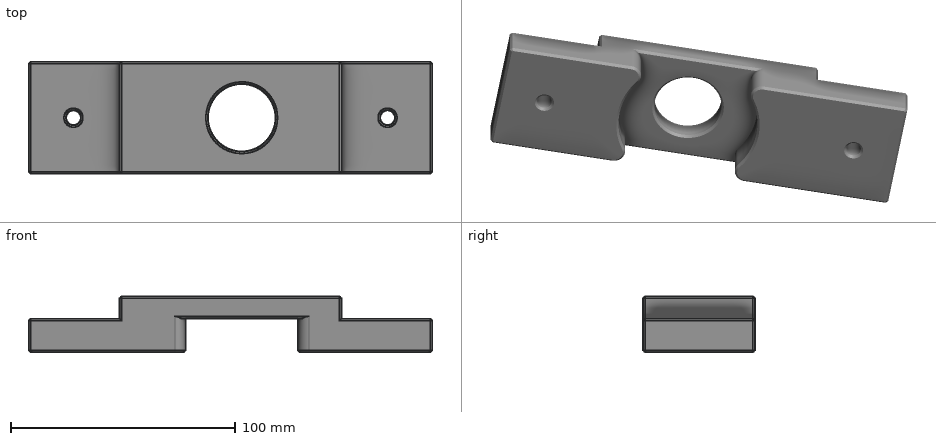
import cadquery as cq
import math

length = 180.0
width = 50.0
height = 25.0
edge_chamfer = 1.0

flange_top = 15.0
bridge_length = 99.0

recess_center_x = 5.0
recess_radius = 31.0
recess_height = 15.0
leg_corner_radius = 5.0

bore_diameter = 30.0
mount_hole_diameter = 6.5
mount_hole_spacing = 140.0

half_width = width / 2
half_bridge = bridge_length / 2


def box_on_base(size_x, size_z):
    """Full-width box centred in X and Y and resting on Z = 0."""
    return cq.Workplane("XY").box(size_x, width, size_z, centered=(True, True, False))


def recess(top):
    """Recess from Z = 0 up to top: a round bay that flares around the leg corners at front and back."""
    corner_y = half_width - leg_corner_radius
    corner_distance = recess_radius + leg_corner_radius
    corner_x = math.sqrt(corner_distance**2 - corner_y**2)
    touch_x = corner_x * recess_radius / corner_distance
    touch_y = corner_y * recess_radius / corner_distance
    return (
        cq.Workplane("XY")
        .moveTo(-corner_x, -half_width)
        .lineTo(corner_x, -half_width)
        .radiusArc((touch_x, -touch_y), leg_corner_radius)
        .threePointArc((recess_radius, 0), (touch_x, touch_y))
        .radiusArc((corner_x, half_width), leg_corner_radius)
        .lineTo(-corner_x, half_width)
        .radiusArc((-touch_x, touch_y), leg_corner_radius)
        .threePointArc((-recess_radius, 0), (-touch_x, -touch_y))
        .radiusArc((-corner_x, -half_width), leg_corner_radius)
        .close()
        .extrude(top)
        .translate((recess_center_x, 0, 0))
    )


def body_with_recess():
    """Stepped body with the recess cut out and its outer edges chamfered."""
    body = box_on_base(length, flange_top).union(box_on_base(bridge_length, height))
    step_corners = cq.selectors.BoxSelector(
        (-half_bridge - edge_chamfer, -half_width, flange_top - edge_chamfer),
        (half_bridge + edge_chamfer, half_width, flange_top + edge_chamfer),
    )
    above_base = cq.StringSyntaxSelector("not <Z")
    body = body.edges(above_base - step_corners).chamfer(edge_chamfer)
    return body.cut(recess(recess_height)).faces("<Z").edges().chamfer(edge_chamfer)


def ceiling_chamfers():
    """Wedges that chamfer the front and back edges of the recess ceiling, bounded by its flare."""
    chamfer_top = recess_height + edge_chamfer
    inner_y = half_width - edge_chamfer
    front_wedge = (
        cq.Workplane("YZ")
        .polyline([
            (-half_width, recess_height),
            (-half_width, chamfer_top),
            (-inner_y, recess_height),
        ])
        .close()
        .extrude(length / 2, both=True)
    )
    return front_wedge.union(front_wedge.mirror("XZ")).intersect(recess(chamfer_top))


def chamfered_hole(x, diameter, bottom, top):
    """Vertical hole cutter at x from bottom to top, with both mouths chamfered."""
    radius = diameter / 2
    mouth_radius = radius + edge_chamfer
    return (
        cq.Workplane("XZ")
        .polyline([
            (0, bottom),
            (mouth_radius, bottom),
            (radius, bottom + edge_chamfer),
            (radius, top - edge_chamfer),
            (mouth_radius, top),
            (0, top),
        ])
        .close()
        .revolve(360, (0, 0), (0, 1))
        .translate((x, 0, 0))
    )


result = (
    body_with_recess()
    .cut(ceiling_chamfers())
    .cut(chamfered_hole(recess_center_x, bore_diameter, recess_height, height))
)
for mount_x in (-mount_hole_spacing / 2, mount_hole_spacing / 2):
    result = result.cut(chamfered_hole(mount_x, mount_hole_diameter, 0, flange_top))